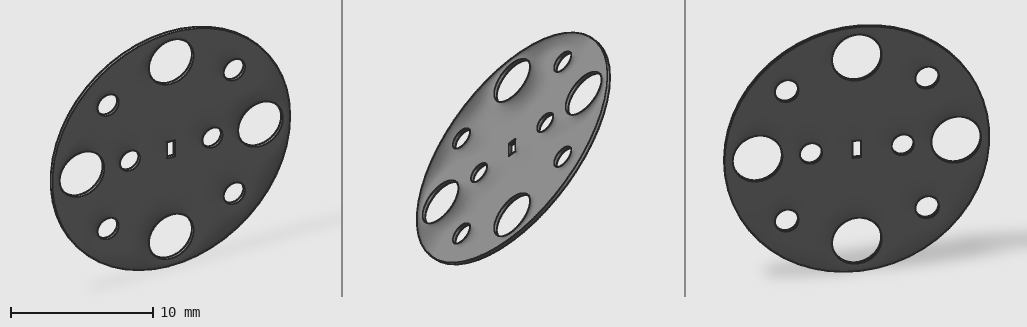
import cadquery as cq
import math

disc_diameter = 19.05
disc_thickness = 0.28

pitch_radius = 7.144
large_hole_diameter = 3.572
small_hole_diameter = 1.7
holes_per_set = 4
hole_spacing_angle = 360 / holes_per_set
small_hole_start_angle = hole_spacing_angle / 2

inner_hole_diameter = 1.6
inner_hole_offset = 3.3

slot_width = 0.635
slot_height = 1.32


def pitch_circle_points(start_angle):
    """Return evenly spaced (Y, Z) points on the pitch circle."""
    angles = [math.radians(start_angle + i * hole_spacing_angle) for i in range(holes_per_set)]
    return [(pitch_radius * math.cos(a), pitch_radius * math.sin(a)) for a in angles]


def disc_face():
    """Return a YZ workplane on the -X face of the disc."""
    return cq.Workplane("YZ", origin=(-disc_thickness / 2, 0, 0))


def hole_cutters(points, diameter):
    """Return cylinders that pass through the disc at the given (Y, Z) points."""
    return disc_face().pushPoints(points).circle(diameter / 2).extrude(disc_thickness)


def slot_cutter():
    """Return the block that passes through the centre of the disc."""
    return disc_face().rect(slot_width, slot_height).extrude(disc_thickness)


inner_hole_points = [(-inner_hole_offset, 0), (inner_hole_offset, 0)]

result = disc_face().circle(disc_diameter / 2).extrude(disc_thickness)
result = result.cut(hole_cutters(pitch_circle_points(0), large_hole_diameter))
result = result.cut(hole_cutters(pitch_circle_points(small_hole_start_angle), small_hole_diameter))
result = result.cut(hole_cutters(inner_hole_points, inner_hole_diameter))
result = result.cut(slot_cutter())